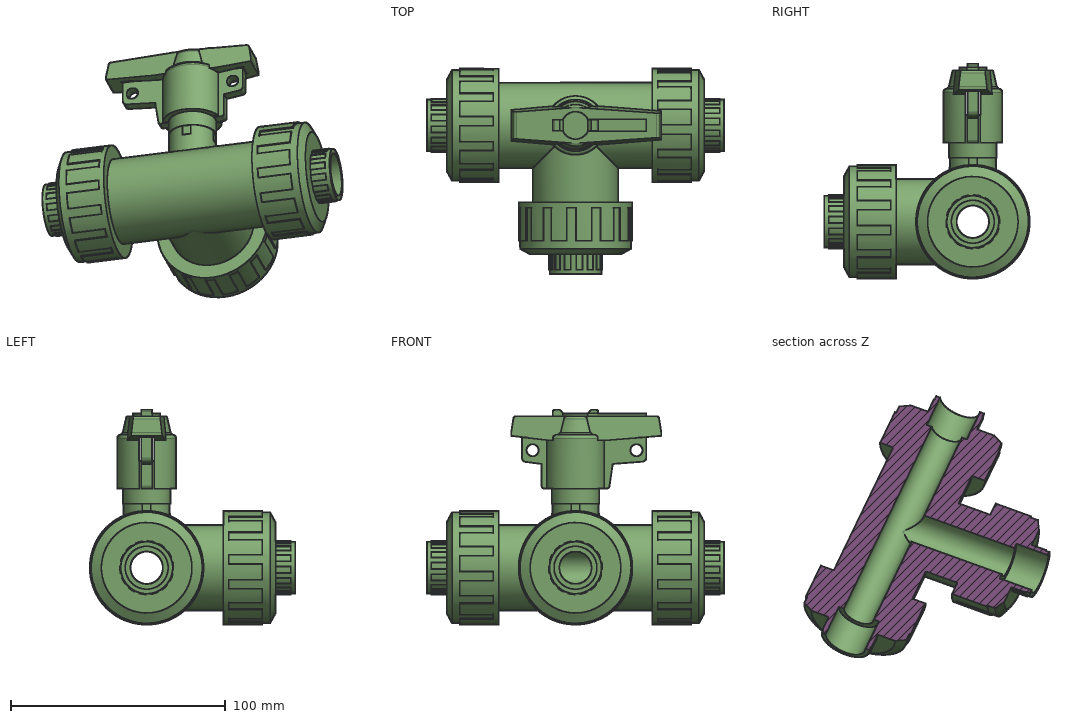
import cadquery as cq
import math


port_reach = 69.25
body_radius = 20.0
bore_radius = 7.5
socket_radius = 10.0
socket_depth = 16.0

nut_radius = 26.55
nut_base_radius = 25.9
nut_face_radius = 21.1
nut_start = 35.75
pocket_start = 38.25
collar_start = 53.85
chamfer_start = 57.5
nut_face = 60.1
grip_count = 14
grip_pitch = 360.0 / grip_count
grip_phase = grip_pitch / 3
pocket_width = 4.4

spigot_radius = 12.12
rib_radius = 12.5
rib_end = 67.2
rib_gap_width = 2.5

stem_radius = 11.15
neck_radius = 11.0
neck_top = 29.8
stem_top = 49.8
window_width = 3.9
window_height = 4.6
window_depth = 0.4

hub_radius = 13.75
hub_bottom = 36.9
shoulder_start = 60.3
shoulder_radius = 1.7
cone_base_radius = 11.2
cone_base_z = 63.0
cone_top_radius = 9.7
cone_top_z = 69.5
hub_top_radius = 8.5
slot_width = 7.0
slot_top = 60.9

lever_top = 70.7
lever_bottom = 59.5
lever_left = -30.0
lever_right = 40.0
lip_top = 63.2
lip_bottom = 61.4
end_draft = 1.2
side_draft = 1.4
lever_flat_left = -13.6
lever_flat_right = 16.0
half_width_left = 6.1
half_width_middle = 8.35
half_width_right = 5.55
lever_end_fillet = 1.5

plate_thickness = 5.1
plate_left = -25.0
plate_right = 33.0
ear_bottom = 49.5
ear_root = 48.3
web_left = -15.85
web_right_top = 17.4
web_right_bottom = 15.7
ear_fillet = 2.0
web_fillet = 1.2
lock_hole_left = -20.0
lock_hole_right = 28.4
lock_hole_z = 54.75
lock_hole_diameter = 5.5

disc_radius = 6.4
marking_top = 71.95
pointer_end = 33.0
pointer_width = 5.6
bump_outer = 10.6
bump_crest = 7.25
bump_inner = 5.7
bump_top = 73.62
bump_width = 5.1
bump_fillet = 0.8


def revolve_about_x(points):
    """Revolve a closed (x, radius) outline about the X axis."""
    return cq.Workplane("XY").polyline(points).close().revolve(360, (0, 0, 0), (1, 0, 0))


def cut_grooves(part, width, start, end, floor_radius, top_radius):
    """Cut a ring of straight grooves along +X, leaving a round floor at floor_radius."""
    ring = cq.Workplane("YZ").workplane(offset=start).circle(top_radius).circle(floor_radius)
    ring = ring.extrude(end - start)
    bar = cq.Workplane("XY").box(
        end - start, top_radius, width, centered=(False, False, True)
    ).translate((start, -top_radius, 0))
    for index in range(grip_count):
        angle = grip_phase + index * grip_pitch
        part = part.cut(ring.intersect(bar.rotate((0, 0, 0), (1, 0, 0), -angle)))
    return part


def make_nut():
    """Union nut on +X with its grip pockets."""
    nut = revolve_about_x([
        (nut_start, 0),
        (nut_start, nut_radius),
        (collar_start, nut_radius),
        (collar_start, nut_base_radius),
        (chamfer_start, nut_base_radius),
        (nut_face, nut_face_radius),
        (nut_face, 0),
    ])
    return cut_grooves(
        nut, pocket_width, pocket_start, collar_start, nut_base_radius, nut_radius
    )


def make_spigot():
    """Ribbed pipe end on +X."""
    spigot = revolve_about_x([
        (nut_start, 0),
        (nut_start, rib_radius),
        (rib_end, rib_radius),
        (rib_end, spigot_radius),
        (port_reach, spigot_radius),
        (port_reach, 0),
    ])
    return cut_grooves(
        spigot, rib_gap_width, nut_face, rib_end, spigot_radius, rib_radius
    )


def make_port():
    """One complete port along +X, still without its bore."""
    pipe = cq.Workplane("YZ").circle(body_radius).extrude(nut_start)
    return pipe.union(make_nut()).union(make_spigot())


def make_bore():
    """Passage along +X, with the wider pipe socket at the open end."""
    bore = cq.Workplane("YZ").circle(bore_radius).extrude(port_reach)
    socket = (
        cq.Workplane("YZ").workplane(offset=port_reach - socket_depth)
        .circle(socket_radius).extrude(socket_depth)
    )
    return bore.union(socket)


def at_every_port(shape):
    """Copy a +X shape to the +X, -X and -Y ports."""
    copies = shape
    for turn in (180, -90):
        copies = copies.union(shape.rotate((0, 0, 0), (0, 0, 1), turn))
    return copies


def make_stem():
    """Neck and stem, with four shallow windows just below the step."""
    neck = cq.Workplane("XY").circle(neck_radius).extrude(neck_top)
    stem = (
        cq.Workplane("XY").workplane(offset=neck_top)
        .circle(stem_radius).extrude(stem_top - neck_top)
    )
    window = cq.Workplane("XY").box(
        2 * window_depth, window_width, window_height
    ).translate((neck_radius, 0, neck_top - window_height / 2))
    for turn in (0, 90, 180, 270):
        neck = neck.cut(window.rotate((0, 0, 0), (0, 0, 1), turn))
    return neck.union(stem)


def make_hub():
    """Hub with a rounded shoulder and a conical crown."""
    shoulder_mid = shoulder_radius * math.sqrt(0.5)
    shoulder_center_r = hub_radius - shoulder_radius
    crown_mid_r = hub_top_radius + (cone_top_radius - hub_top_radius) * math.sqrt(0.5)
    crown_mid_z = cone_top_z + (lever_top - cone_top_z) * math.sqrt(0.5)
    return (
        cq.Workplane("XZ")
        .moveTo(0, hub_bottom)
        .lineTo(hub_radius, hub_bottom)
        .lineTo(hub_radius, shoulder_start)
        .threePointArc(
            (shoulder_center_r + shoulder_mid, shoulder_start + shoulder_mid),
            (shoulder_center_r, shoulder_start + shoulder_radius),
        )
        .lineTo(cone_base_radius, cone_base_z)
        .lineTo(cone_top_radius, cone_top_z)
        .threePointArc((crown_mid_r, crown_mid_z), (hub_top_radius, lever_top))
        .lineTo(0, lever_top)
        .close()
        .revolve(360, (0, 0, 0), (0, 1, 0))
    )


def lever_plan(spread):
    """Six-sided lever plan, widened by spread on each side."""
    return [
        (lever_left, -half_width_left - spread),
        (0, -half_width_middle - spread),
        (lever_right, -half_width_right - spread),
        (lever_right, half_width_right + spread),
        (0, half_width_middle + spread),
        (lever_left, half_width_left + spread),
    ]


def make_lever():
    """Lever with drafted sides, drafted ends and rounded top ends."""
    prism = (
        cq.Workplane("XY").workplane(offset=lever_bottom)
        .polyline(lever_plan(side_draft)).close()
        .workplane(offset=lever_top - lever_bottom)
        .polyline(lever_plan(0)).close()
        .loft(ruled=True)
    )
    side_profile = (
        cq.Workplane("XZ")
        .polyline([
            (lever_left, lip_bottom),
            (lever_flat_left, lever_bottom),
            (lever_flat_right, lever_bottom),
            (lever_right, lip_bottom),
            (lever_right, lip_top),
            (lever_right - end_draft, lever_top),
            (lever_left + end_draft, lever_top),
            (lever_left, lip_top),
        ])
        .close()
        .extrude(hub_radius, both=True)
        .edges("|Y and >Z").fillet(lever_end_fillet)
    )
    return prism.intersect(side_profile)


def round_plate_corners(plate, corners, radius):
    """Fillet the plate edges that stand at the given (x, z) corners."""
    for x, z in corners:
        corner_edge = cq.selectors.NearestToPointSelector((x, 0, z))
        plate = plate.edges("|Y").edges(corner_edge).fillet(radius)
    return plate


def make_plate():
    """Locking plate: two drilled ears and a web running down through the hub."""
    plate = (
        cq.Workplane("XZ")
        .polyline([
            (plate_left, lip_top),
            (plate_left, ear_bottom),
            (web_left, ear_root),
            (web_left, hub_bottom),
            (web_right_bottom, hub_bottom),
            (web_right_top, ear_root),
            (plate_right, ear_bottom),
            (plate_right, lip_top),
        ])
        .close()
        .extrude(plate_thickness / 2, both=True)
    )
    ear_corners = [(plate_left, ear_bottom), (plate_right, ear_bottom)]
    web_corners = [(web_left, hub_bottom), (web_right_bottom, hub_bottom)]
    plate = round_plate_corners(plate, ear_corners, ear_fillet)
    plate = round_plate_corners(plate, web_corners, web_fillet)
    holes = (
        cq.Workplane("XZ")
        .pushPoints([(lock_hole_left, lock_hole_z), (lock_hole_right, lock_hole_z)])
        .circle(lock_hole_diameter / 2)
        .extrude(plate_thickness, both=True)
    )
    return plate.cut(holes)


def make_handle():
    """Slotted hub, lever and locking plate."""
    slot = cq.Workplane("XY").box(
        lever_right - lever_left, slot_width, slot_top - hub_bottom, centered=(True, True, False)
    ).translate(((lever_left + lever_right) / 2, 0, hub_bottom))
    return make_hub().union(make_lever()).cut(slot).union(make_plate())


def make_bump():
    """Raised stop beside the disc on +X, sloping down towards the disc."""
    return (
        cq.Workplane("XZ")
        .polyline([
            (bump_inner, lever_top),
            (bump_outer, lever_top),
            (bump_outer, bump_top),
            (bump_crest, bump_top),
            (bump_inner, marking_top),
        ])
        .close()
        .extrude(bump_width / 2, both=True)
        .edges("|Y and >X").edges(">Z").fillet(bump_fillet)
    )


def make_markings():
    """Disc, pointer strip and the two stops on the lever top."""
    marking_height = marking_top - lever_top
    top_plane = cq.Workplane("XY").workplane(offset=lever_top)
    disc = top_plane.circle(disc_radius).extrude(marking_height)
    pointer = (
        top_plane.center(pointer_end / 2, 0)
        .rect(pointer_end, pointer_width).extrude(marking_height)
    )
    bump = make_bump()
    return disc.union(pointer).union(bump).union(bump.mirror("YZ"))


ports = at_every_port(make_port())
bores = at_every_port(make_bore())
body = ports.union(make_stem()).cut(bores)
result = body.union(make_handle()).union(make_markings())